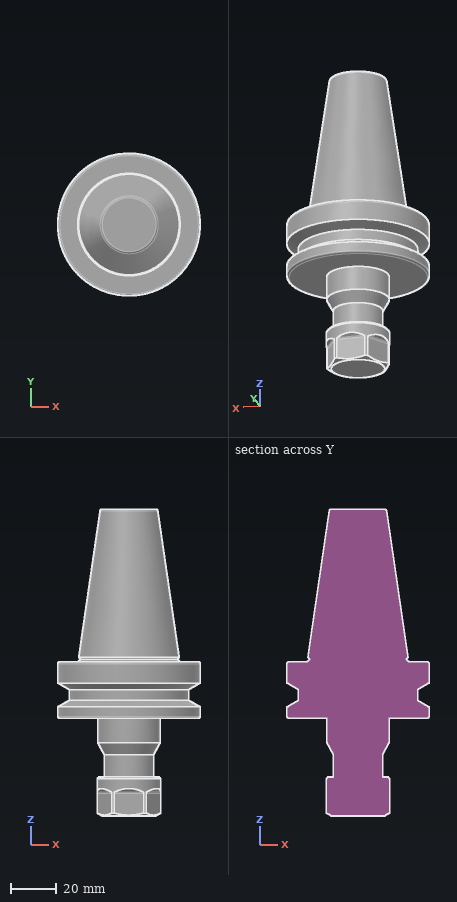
import cadquery as cq
import math

total_height = 135.4

gauge_height = 70.0
gauge_radius = 22.2
taper_ratio = 7 / 24
taper_end_radius = gauge_radius - (total_height - gauge_height) * taper_ratio / 2
taper_end_round = 1.0

relief_depth = 0.8
relief_foot_radius = 22.6

flange_radius = 63.0 / 2
flange_bottom = 43.0
flange_top = 68.1
flange_round = 1.0
groove_radius = 53.0 / 2
groove_floor_bottom = 51.0
groove_floor_top = 55.8
groove_wall_angle = math.radians(30)
groove_wall_rise = (flange_radius - groove_radius) * math.tan(groove_wall_angle)

upper_neck_radius = 13.8
lower_neck_radius = 11.0
neck_cone_top = 32.4
neck_cone_bottom = 27.1

nut_radius = 14.1
nut_top = 17.3
nut_top_chamfer = 0.8
nut_bottom_radius = 11.8
nut_bottom_angle = math.radians(30)
nut_bottom_rise = (nut_radius - nut_bottom_radius) * math.tan(nut_bottom_angle)
across_flats = 25.0
flat_distance = across_flats / 2
flat_count = 6
flat_top = 10.5
flat_fillet = 1.0


def turned_body():
    """Revolve the half outline of the holder and the nut blank."""
    relief_radius = gauge_radius - relief_depth
    diagonal = math.sqrt(0.5)
    flange_round_center = flange_radius - flange_round
    flange_round_middle = flange_round_center + flange_round * diagonal
    lower_round_height = flange_bottom + flange_round
    upper_round_height = flange_top - flange_round

    taper_angle = math.atan(taper_ratio / 2)
    end_round_inset = taper_end_round * (1 / math.cos(taper_angle) - math.tan(taper_angle))
    end_round_center = taper_end_radius - end_round_inset
    end_round_height = total_height - taper_end_round
    end_round_mid_angle = (taper_angle + math.pi / 2) / 2

    def end_round_point(angle):
        return (
            end_round_center + taper_end_round * math.cos(angle),
            end_round_height + taper_end_round * math.sin(angle),
        )

    outline = (
        cq.Workplane("XZ")
        .lineTo(nut_bottom_radius, 0)
        .lineTo(nut_radius, nut_bottom_rise)
        .lineTo(nut_radius, nut_top - nut_top_chamfer)
        .lineTo(nut_radius - nut_top_chamfer, nut_top)
        .lineTo(lower_neck_radius, nut_top)
        .lineTo(lower_neck_radius, neck_cone_bottom)
        .lineTo(upper_neck_radius, neck_cone_top)
        .lineTo(upper_neck_radius, flange_bottom)
        .lineTo(flange_round_center, flange_bottom)
        .threePointArc(
            (flange_round_middle, lower_round_height - flange_round * diagonal),
            (flange_radius, lower_round_height),
        )
        .lineTo(flange_radius, groove_floor_bottom - groove_wall_rise)
        .lineTo(groove_radius, groove_floor_bottom)
        .lineTo(groove_radius, groove_floor_top)
        .lineTo(flange_radius, groove_floor_top + groove_wall_rise)
        .lineTo(flange_radius, upper_round_height)
        .threePointArc(
            (flange_round_middle, upper_round_height + flange_round * diagonal),
            (flange_round_center, flange_top),
        )
        .lineTo(relief_foot_radius, flange_top)
        .lineTo(relief_radius, gauge_height - relief_depth)
        .lineTo(gauge_radius, gauge_height)
        .lineTo(*end_round_point(taper_angle))
        .threePointArc(end_round_point(end_round_mid_angle), end_round_point(math.pi / 2))
        .lineTo(0, total_height)
        .close()
    )
    return outline.revolve(360, (0, 0), (0, 1))


def flat_cutter():
    """Material removed outside one wrench flat, on the +X side."""
    reach = 2 * (nut_radius - flat_distance)
    bend = math.radians(45)
    fillet_tangent = flat_fillet * math.tan(bend / 2)
    arc_center = (flat_distance + flat_fillet, flat_top - fillet_tangent)
    arc_middle = (
        arc_center[0] - flat_fillet * math.cos(bend / 2),
        arc_center[1] + flat_fillet * math.sin(bend / 2),
    )
    arc_end = (
        arc_center[0] - flat_fillet * math.cos(bend),
        arc_center[1] + flat_fillet * math.sin(bend),
    )
    return (
        cq.Workplane("XZ")
        .moveTo(flat_distance, 0)
        .lineTo(flat_distance, arc_center[1])
        .threePointArc(arc_middle, arc_end)
        .lineTo(flat_distance + reach, flat_top + reach)
        .lineTo(flat_distance + reach, 0)
        .close()
        .extrude(nut_radius, both=True)
    )


result = turned_body()
for index in range(flat_count):
    angle = 90 + index * 360 / flat_count
    result = result.cut(flat_cutter().rotate((0, 0, 0), (0, 0, 1), angle))